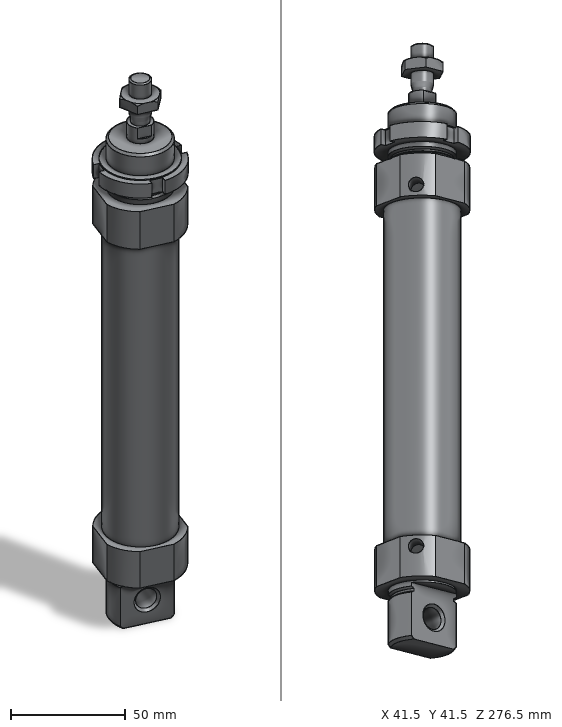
import cadquery as cq
import math


FOOT_CHAMFER_Z = 1.5
PIVOT_Z = 12.2
FOOT_GROOVE_Z = 21.3
FOOT_GROOVE_TOP_Z = 24.0
LIP_Z = 25.7
REAR_CAP_Z = 26.5
REAR_CAP_TOP_Z = 45.3
FRONT_CAP_Z = 201.3
FRONT_CAP_TOP_Z = 220.6
NECK_GROOVE_Z = 223.0
NECK_GROOVE_TOP_Z = 225.5
RING_NUT_Z = 227.8
NECK_TOP_Z = 246.4
ROD_FLAT_Z = 248.8
ROD_SHOULDER_Z = 254.5
ROD_NECK_TOP_Z = 256.3
ROD_THREAD_Z = 258.8
ROD_NUT_Z = 263.8
ROD_TOP_Z = 276.5

TUBE_D = 33.7
CAP_D = 41.5
CAP_ACROSS_FLATS = 38.2
THREAD_D = 30.0
NECK_TOP_D = 27.6
NECK_CHAMFER_HEIGHT = 1.0
GROOVE_D = 27.6
GROOVE_WALL_HEIGHT = 0.8
FOOT_END_D = 27.6
FOOT_WIDTH = 16.0
PIVOT_D = 10.0
PIVOT_CHAMFER_D = 12.5
PORT_D = 6.5
PORT_DEPTH = 8.3
PORT_ANGLE = 133.0
PORT_FROM_TUBE = 5.0

ROD_D = 12.0
ROD_THREAD_D = 10.0
ROD_TIP_D = 8.3
ROD_TIP_CHAMFER = 0.5
ROD_NECK_D = 8.5
ROD_ACROSS_FLATS = 10.0

ROD_NUT_HEIGHT = 5.0
ROD_NUT_ACROSS_FLATS = 17.0
ROD_NUT_FACE_D = 17.1
ROD_NUT_CHAMFER_HEIGHT = 0.8
RING_NUT_HEIGHT = 7.7
RING_NUT_STEP = 0.5
RING_NUT_FACE_D = 36.0
RING_NUT_SIZE = 41.5
RING_NUT_SLOT_WIDTH = 6.0
RING_NUT_SLOT_FLOOR = 18.2

SIDE = 2 * CAP_D


def cylinder(diameter, bottom, top):
    """Round bar on the Z axis between two heights."""
    return cq.Workplane("XY").workplane(offset=bottom).circle(diameter / 2).extrude(top - bottom)


def turned(profile):
    """Solid of revolution about Z from (diameter, height) pairs, listed from bottom to top."""
    points = [(diameter / 2, height) for diameter, height in profile]
    outline = [(0, points[0][1])] + points + [(0, points[-1][1])]
    return cq.Workplane("XZ").polyline(outline).close().revolve(360, (0, 0), (0, 1))


def block(x_size, y_size, bottom, top):
    """Rectangular bar centred on the Z axis between two heights."""
    return cq.Workplane("XY").workplane(offset=bottom).rect(x_size, y_size).extrude(top - bottom)


def end_cap(bottom, top):
    """Round cap with four wrench flats facing X and Y."""
    flats = block(CAP_ACROSS_FLATS, CAP_ACROSS_FLATS, bottom, top)
    return cylinder(CAP_D, bottom, top).intersect(flats)


def relief_groove(bottom, top):
    """Profile points of a thread relief groove with sloping walls."""
    return [
        (THREAD_D, bottom),
        (GROOVE_D, bottom + GROOVE_WALL_HEIGHT),
        (GROOVE_D, top - GROOVE_WALL_HEIGHT),
        (THREAD_D, top),
    ]


def neck():
    """Threaded neck above the front cap, with a relief groove and a chamfered top."""
    return turned([
        (THREAD_D, FRONT_CAP_TOP_Z),
        *relief_groove(NECK_GROOVE_Z, NECK_GROOVE_TOP_Z),
        (THREAD_D, NECK_TOP_Z - NECK_CHAMFER_HEIGHT),
        (NECK_TOP_D, NECK_TOP_Z),
    ])


def clevis_foot():
    """Round foot cut to a flat tongue with chamfered ends, with a pivot hole countersunk on both sides."""
    foot = turned([
        (FOOT_END_D, 0),
        (THREAD_D, FOOT_CHAMFER_Z),
        *relief_groove(FOOT_GROOVE_Z, FOOT_GROOVE_TOP_Z),
        (THREAD_D, LIP_Z),
    ])
    foot = foot.intersect(block(FOOT_WIDTH, SIDE, 0, LIP_Z))
    chamfer = (PIVOT_CHAMFER_D - PIVOT_D) / 2
    half_width = FOOT_WIDTH / 2
    pivot = (
        cq.Workplane("XY")
        .polyline([
            (-half_width, 0),
            (-half_width, PIVOT_CHAMFER_D / 2),
            (-half_width + chamfer, PIVOT_D / 2),
            (half_width - chamfer, PIVOT_D / 2),
            (half_width, PIVOT_CHAMFER_D / 2),
            (half_width, 0),
        ])
        .close()
        .revolve(360, (0, 0), (1, 0))
        .translate((0, 0, PIVOT_Z))
    )
    return foot.cut(pivot)


def port(height):
    """Cutter for a blind air port drilled radially into a cap."""
    return (
        cq.Workplane("YZ")
        .workplane(offset=CAP_D / 2 - PORT_DEPTH)
        .center(0, height)
        .circle(PORT_D / 2)
        .extrude(SIDE)
        .rotate((0, 0, 0), (0, 0, 1), PORT_ANGLE)
    )


def make_housing():
    """Tube with its two caps, the threaded neck, the clevis foot and an air port in each cap."""
    housing = (
        cylinder(TUBE_D, REAR_CAP_TOP_Z, FRONT_CAP_Z)
        .union(end_cap(REAR_CAP_Z, REAR_CAP_TOP_Z))
        .union(end_cap(FRONT_CAP_Z, FRONT_CAP_TOP_Z))
        .union(neck())
        .union(cylinder(THREAD_D, LIP_Z, REAR_CAP_Z))
        .union(clevis_foot())
    )
    for height in (REAR_CAP_TOP_Z - PORT_FROM_TUBE, FRONT_CAP_Z + PORT_FROM_TUBE):
        housing = housing.cut(port(height))
    return housing


def make_rod():
    """Piston rod end with two wrench flats, an undercut and a chamfered threaded tip."""
    rod = turned([
        (ROD_D, NECK_TOP_Z),
        (ROD_D, ROD_SHOULDER_Z),
        (ROD_NECK_D, ROD_SHOULDER_Z),
        (ROD_NECK_D, ROD_NECK_TOP_Z),
        (ROD_THREAD_D, ROD_THREAD_Z),
        (ROD_THREAD_D, ROD_TOP_Z - ROD_TIP_CHAMFER),
        (ROD_TIP_D, ROD_TOP_Z),
    ])
    flats = block(ROD_ACROSS_FLATS, SIDE, ROD_FLAT_Z, ROD_TOP_Z)
    return rod.intersect(flats.union(cylinder(SIDE, NECK_TOP_Z, ROD_FLAT_Z)))


def make_rod_nut():
    """Hexagon nut with two flats facing X and its upper corners turned off."""
    top = ROD_NUT_Z + ROD_NUT_HEIGHT
    corner_d = ROD_NUT_ACROSS_FLATS / math.cos(math.pi / 6)
    hexagon = (
        cq.Workplane("XY")
        .workplane(offset=ROD_NUT_Z)
        .polygon(6, corner_d)
        .extrude(ROD_NUT_HEIGHT)
        .rotate((0, 0, 0), (0, 0, 1), 30)
    )
    envelope = turned([
        (corner_d, ROD_NUT_Z),
        (corner_d, top - ROD_NUT_CHAMFER_HEIGHT),
        (ROD_NUT_FACE_D, top),
    ])
    return hexagon.intersect(envelope).cut(cylinder(ROD_THREAD_D, ROD_NUT_Z, top))


def make_ring_nut():
    """Slotted round nut on the neck, with a raised inner face."""
    top = RING_NUT_Z + RING_NUT_HEIGHT
    outer_d = math.hypot(RING_NUT_SIZE, RING_NUT_SLOT_WIDTH)
    nut = cylinder(outer_d, RING_NUT_Z, top - RING_NUT_STEP)
    nut = nut.union(cylinder(RING_NUT_FACE_D, RING_NUT_Z, top))
    for angle in (0, 90, 180, 270):
        slot = (
            block(SIDE, RING_NUT_SLOT_WIDTH, RING_NUT_Z, top)
            .translate((RING_NUT_SLOT_FLOOR + SIDE / 2, 0, 0))
            .rotate((0, 0, 0), (0, 0, 1), angle)
        )
        nut = nut.cut(slot)
    return nut.cut(cylinder(THREAD_D, RING_NUT_Z, top))


housing = make_housing()
rod = make_rod()
rod_nut = make_rod_nut()
ring_nut = make_ring_nut()

result = cq.Compound.makeCompound([housing.val(), rod.val(), rod_nut.val(), ring_nut.val()])